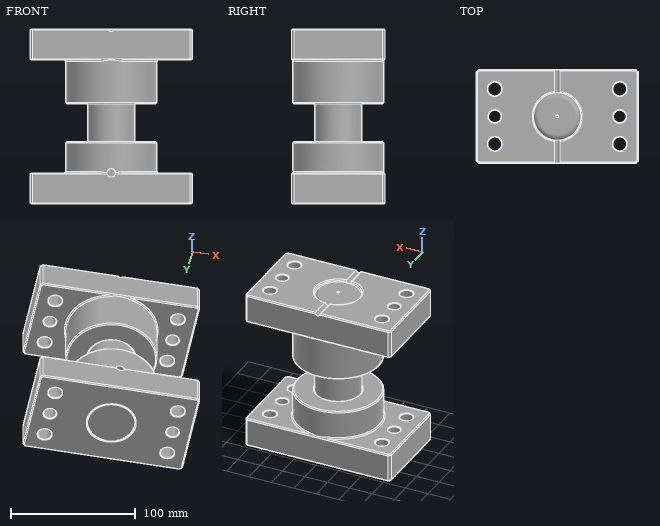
import cadquery as cq

PLATE_LENGTH = 130.0
PLATE_WIDTH = 75.0
PLATE_THICKNESS = 25.0
CORNER_CHAMFER = 2.0
EDGE_CHAMFER = 1.0

BOSS_DIAMETER = 73.0
LOWER_DIE_HEIGHT = 50.0
UPPER_DIE_HEIGHT = 60.0
TOTAL_HEIGHT = 140.2

PIN_DIAMETER = 38.0
PIN_LENGTH = 140.0
PIN_TOP_FILLET = 4.3
CENTRE_MARK_DIAMETER = 2.0

BOLT_HOLE_DIAMETER = 11.0
DOWEL_HOLE_DIAMETER = 10.0
HOLE_CHAMFER = 0.5
HOLE_ROW_X = 50.0
BOLT_HOLE_Y = 22.0

VENT_DIAMETER = 6.8
GROOVE_RADIUS = 2.2

BOSS_RADIUS = BOSS_DIAMETER / 2
PIN_RADIUS = PIN_DIAMETER / 2
CENTRE_MARK_RADIUS = CENTRE_MARK_DIAMETER / 2


def frustum(bottom_radius, top_radius, bottom_z, height):
    """Cone section about Z between two different radii."""
    axis_start = cq.Vector(0, 0, bottom_z)
    return cq.Workplane(cq.Solid.makeCone(bottom_radius, top_radius, height, axis_start))


def plate():
    """Rectangular plate standing on Z = 0 with every edge chamfered."""
    block = cq.Workplane("XY").box(
        PLATE_LENGTH, PLATE_WIDTH, PLATE_THICKNESS, centered=(True, True, False)
    )
    block = block.edges("|Z").chamfer(CORNER_CHAMFER)
    return block.faces("<Z or >Z").edges().chamfer(EDGE_CHAMFER)


def boss_flare():
    """45 degree collar at the foot of the boss, trimmed where the plate edge chamfer passes through it."""
    collar = frustum(BOSS_RADIUS + EDGE_CHAMFER, BOSS_RADIUS, PLATE_THICKNESS, EDGE_CHAMFER)
    trim = (
        cq.Workplane("XY", origin=(0, 0, PLATE_THICKNESS))
        .rect(PLATE_LENGTH - 2 * EDGE_CHAMFER, PLATE_WIDTH - 2 * EDGE_CHAMFER)
        .extrude(EDGE_CHAMFER, taper=45)
    )
    return collar.intersect(trim)


def boss(die_height):
    """Round boss rising from the plate to the full die height."""
    return (
        cq.Workplane("XY", origin=(0, 0, PLATE_THICKNESS))
        .circle(BOSS_RADIUS)
        .extrude(die_height - PLATE_THICKNESS)
        .faces(">Z")
        .chamfer(EDGE_CHAMFER)
    )


def pin_bore(die_height):
    """Through bore for the pin, with a chamfered mouth at each end."""
    bore = cq.Workplane("XY").circle(PIN_RADIUS).extrude(die_height)
    mouth_radius = PIN_RADIUS + EDGE_CHAMFER
    bottom_mouth = frustum(mouth_radius, PIN_RADIUS, 0, EDGE_CHAMFER)
    top_mouth = frustum(PIN_RADIUS, mouth_radius, die_height - EDGE_CHAMFER, EDGE_CHAMFER)
    return bore.union(bottom_mouth).union(top_mouth)


def plate_holes():
    """At each end of the plate: two bolt holes with a dowel hole between them."""
    hole_diameters = {
        -BOLT_HOLE_Y: BOLT_HOLE_DIAMETER,
        0: DOWEL_HOLE_DIAMETER,
        BOLT_HOLE_Y: BOLT_HOLE_DIAMETER,
    }
    holes = cq.Workplane("XY")
    for y, diameter in hole_diameters.items():
        radius = diameter / 2
        mouth_radius = radius + HOLE_CHAMFER
        hole = cq.Workplane("XY").circle(radius).extrude(PLATE_THICKNESS)
        hole = hole.union(frustum(mouth_radius, radius, 0, HOLE_CHAMFER))
        hole = hole.union(frustum(radius, mouth_radius, PLATE_THICKNESS - HOLE_CHAMFER, HOLE_CHAMFER))
        for x in (-HOLE_ROW_X, HOLE_ROW_X):
            holes = holes.add(hole.translate((x, y, 0)))
    return holes.combine()


def die(die_height):
    """Plate on Z = 0 with its boss pointing up, bored for the pin and drilled for fasteners."""
    body = plate().union(boss(die_height)).union(boss_flare())
    return body.cut(pin_bore(die_height)).cut(plate_holes())


def make_lower_die():
    """Lower die, with a vent drilled from the front edge into the bore along the plate's top face."""
    vent = (
        cq.Workplane("XZ", origin=(0, 0, PLATE_THICKNESS))
        .circle(VENT_DIAMETER / 2)
        .extrude(PLATE_WIDTH / 2)
    )
    return die(LOWER_DIE_HEIGHT).cut(vent)


def make_upper_die():
    """Upper die, boss pointing down, with a round-bottomed groove across its top face."""
    body = die(UPPER_DIE_HEIGHT).rotate((0, 0, 0), (1, 0, 0), 180).translate((0, 0, TOTAL_HEIGHT))
    groove_start = cq.Vector(0, -PLATE_WIDTH / 2, TOTAL_HEIGHT)
    groove = cq.Solid.makeCylinder(GROOVE_RADIUS, PLATE_WIDTH, groove_start, cq.Vector(0, 1, 0))
    return body.cut(groove)


def make_pin():
    """Pin running through both dies, with a rounded top edge and a conical centre mark."""
    pin = cq.Workplane("XY").circle(PIN_RADIUS).extrude(PIN_LENGTH)
    pin = pin.faces(">Z").edges().fillet(PIN_TOP_FILLET)
    mark_z = PIN_LENGTH - CENTRE_MARK_RADIUS
    return pin.cut(frustum(0, CENTRE_MARK_RADIUS, mark_z, CENTRE_MARK_RADIUS))


lower_die = make_lower_die()
upper_die = make_upper_die()
pin = make_pin()

result = cq.Compound.makeCompound([lower_die.val(), upper_die.val(), pin.val()])